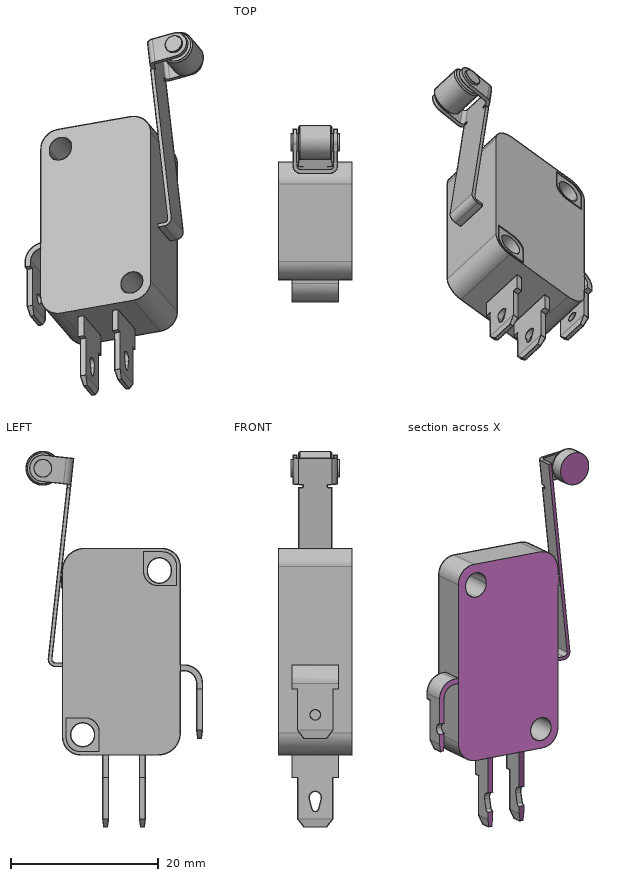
import cadquery as cq
import math


housing_width = 10.0
housing_depth = 16.0
housing_height = 28.0
mount_corner_radius = 2.5
plain_corner_radius = 3.0
mount_hole_diameter = 3.2
pad_inset = 2.75
slot_front_inset = 2.85
slot_top_inset = 3.0
slot_length = 3.4
pad_depth = 4.5
pad_height = 4.6
pad_corner_radius = 1.95
pad_recess_depth = 0.1
button_diameter = 1.65
button_height = 23.5
button_projection = 0.15

terminal_thickness = 0.8
shoulder_width = 6.3
blade_width = 4.8
blade_length = 6.7
tip_width = 3.05
tip_length = 1.1
tip_thickness = 0.5
bottom_terminal_drop = 9.8
bottom_terminal_spacing = 5.0
bottom_terminals_middle = -0.35
keyhole_wide_radius = 0.8
keyhole_narrow_radius = 0.45
keyhole_wide_above_tip = 4.0
keyhole_length = 1.45
side_terminal_reach = 3.0
side_terminal_top = 12.2
side_terminal_tip = 2.25
side_bend_radius = 2.5
side_hole_diameter = 1.45
side_hole_above_tip = 3.2

lever_thickness = 0.5
lever_width = 4.5
lever_tilt = 6.2
hook_underside = 11.95
hook_bend_radius = 0.5
bracket_width = 6.0
bracket_height = 3.55
bracket_bend_radius = 0.5
bracket_back_distance = 4.0
notch_height = 0.45
notch_depth = 0.6
roller_diameter = 4.6
roller_width = 4.5
roller_chamfer = 0.2
axle_diameter = 2.4
axle_length = 6.6
axle_y = 10.65
axle_z = 38.85

front_face = -housing_depth / 2
back_face = housing_depth / 2


def along_x(y, z, diameter, length):
    """Cylinder parallel to X, centred on X = 0."""
    return cq.Workplane("YZ").center(y, z).circle(diameter / 2).extrude(length / 2, both=True)


def housing_block():
    block = cq.Workplane("XY").box(
        housing_width, housing_depth, housing_height, centered=(True, True, False)
    )
    block = block.edges("|X and >Z and <Y").fillet(mount_corner_radius)
    block = block.edges("|X and <Z and >Y").fillet(mount_corner_radius)
    block = block.edges("|X and >Z and >Y").fillet(plain_corner_radius)
    return block.edges("|X and <Z and <Y").fillet(plain_corner_radius)


def mount_pad_recess(y, z):
    """Shallow recess around a mounting hole, with two opposite corners rounded."""
    recess = cq.Workplane("XY").box(pad_recess_depth, pad_depth, pad_height)
    recess = recess.edges("|X and (( >Y and <Z ) or ( <Y and >Z ))").fillet(pad_corner_radius)
    return recess.translate(((pad_recess_depth - housing_width) / 2, y, z))


def make_housing():
    lower_hole = along_x(back_face - pad_inset, pad_inset, mount_hole_diameter, housing_width)
    upper_slot = (
        cq.Workplane("YZ")
        .center(front_face + slot_front_inset, housing_height - slot_top_inset)
        .slot2D(slot_length, mount_hole_diameter, 90)
        .extrude(housing_width, both=True)
    )
    body = housing_block().cut(lower_hole).cut(upper_slot)
    body = body.cut(mount_pad_recess(back_face - pad_inset, pad_inset))
    body = body.cut(mount_pad_recess(front_face + pad_inset, housing_height - pad_inset))
    button = (
        cq.Workplane("XZ", origin=(0, back_face, button_height))
        .circle(button_diameter / 2)
        .extrude(-button_projection)
    )
    return body.union(button)


def spade_plate(tip_z, top_z):
    """Spade outline seen along Y, thick enough to hold any terminal."""
    shoulder_z = tip_z + blade_length
    half_outline = [
        (tip_width / 2, tip_z),
        (blade_width / 2, tip_z + tip_length),
        (blade_width / 2, shoulder_z),
        (shoulder_width / 2, shoulder_z),
        (shoulder_width / 2, top_z),
    ]
    mirrored = [(-x, z) for x, z in reversed(half_outline)]
    return cq.Workplane("XZ").polyline(half_outline + mirrored).close().extrude(housing_depth, both=True)


def tip_points(y, tip_z):
    """Tapered end of a terminal seen along X, from its +Y side to its -Y side."""
    taper_z = tip_z + tip_length
    return [
        (y + terminal_thickness / 2, taper_z),
        (y + tip_thickness / 2, tip_z),
        (y - tip_thickness / 2, tip_z),
        (y - terminal_thickness / 2, taper_z),
    ]


def keyhole(wide_z):
    """Pear-shaped opening: two circles joined by their common tangents."""
    narrow_z = wide_z - keyhole_length
    sine = (keyhole_wide_radius - keyhole_narrow_radius) / keyhole_length
    cosine = math.sqrt(1 - sine**2)
    wide_x = keyhole_wide_radius * cosine
    narrow_x = keyhole_narrow_radius * cosine
    wide_tangent_z = wide_z - keyhole_wide_radius * sine
    narrow_tangent_z = narrow_z - keyhole_narrow_radius * sine
    return (
        cq.Workplane("XZ")
        .moveTo(narrow_x, narrow_tangent_z)
        .lineTo(wide_x, wide_tangent_z)
        .threePointArc((0, wide_z + keyhole_wide_radius), (-wide_x, wide_tangent_z))
        .lineTo(-narrow_x, narrow_tangent_z)
        .threePointArc((0, narrow_z - keyhole_narrow_radius), (narrow_x, narrow_tangent_z))
        .close()
        .extrude(housing_depth, both=True)
    )


def make_bottom_terminal(y):
    tip_z = -bottom_terminal_drop
    half_thickness = terminal_thickness / 2
    side_outline = [(y - half_thickness, 0), (y + half_thickness, 0)] + tip_points(y, tip_z)
    sheet = cq.Workplane("YZ").polyline(side_outline).close().extrude(shoulder_width, both=True)
    blade = sheet.intersect(spade_plate(tip_z, 0))
    return blade.cut(keyhole(tip_z + keyhole_wide_above_tip))


def make_side_terminal():
    outer_y = front_face - side_terminal_reach
    middle_y = outer_y + terminal_thickness / 2
    bend_y = outer_y + side_bend_radius
    bend_z = side_terminal_top - side_bend_radius
    inner_radius = side_bend_radius - terminal_thickness
    diagonal = math.sqrt(0.5)
    tip_back, *tip_rest = tip_points(middle_y, side_terminal_tip)
    sheet = (
        cq.Workplane("YZ")
        .moveTo(front_face, side_terminal_top)
        .lineTo(bend_y, side_terminal_top)
        .threePointArc(
            (bend_y - side_bend_radius * diagonal, bend_z + side_bend_radius * diagonal),
            (outer_y, bend_z),
        )
        .polyline(list(reversed(tip_rest)), includeCurrent=True)
        .lineTo(*tip_back)
        .lineTo(outer_y + terminal_thickness, bend_z)
        .threePointArc(
            (bend_y - inner_radius * diagonal, bend_z + inner_radius * diagonal),
            (bend_y, bend_z + inner_radius),
        )
        .lineTo(front_face, side_terminal_top - terminal_thickness)
        .close()
        .extrude(shoulder_width, both=True)
    )
    blade = sheet.intersect(spade_plate(side_terminal_tip, side_terminal_top))
    hole = (
        cq.Workplane("XZ", origin=(0, 0, side_terminal_tip + side_hole_above_tip))
        .circle(side_hole_diameter / 2)
        .extrude(housing_depth, both=True)
    )
    return blade.cut(hole)


tilt_sine = math.sin(math.radians(lever_tilt))
tilt_cosine = math.cos(math.radians(lever_tilt))
lever_plane = cq.Plane(
    origin=(0, axle_y, axle_z), xDir=(1, 0, 0), normal=(0, -tilt_sine, tilt_cosine)
)


def strip_point(distance, height):
    """(Y, Z) of a point at a distance in front of the axle and a height along the strip."""
    point = lever_plane.toWorldCoords((0, -distance, height))
    return point.y, point.z


def strip_point_at_z(distance, z):
    """(Y, Z) where the strip plane at a distance in front of the axle reaches level z."""
    height = (z - axle_z + distance * tilt_sine) / tilt_cosine
    return strip_point(distance, height)


def lever_strip():
    front = bracket_back_distance
    back = bracket_back_distance - lever_thickness
    hook_top = hook_underside + lever_thickness
    hook_outer_corner = strip_point_at_z(back, hook_underside)
    hook_inner_corner = strip_point_at_z(front, hook_top)
    outline = [
        strip_point(front, bracket_height / 2),
        strip_point(back, bracket_height / 2),
        hook_outer_corner,
        (back_face, hook_underside),
        (back_face, hook_top),
        hook_inner_corner,
    ]
    strip = cq.Workplane("YZ").polyline(outline).close().extrude(lever_width / 2, both=True)
    inner_corner = cq.selectors.NearestToPointSelector((0, *hook_inner_corner))
    outer_corner = cq.selectors.NearestToPointSelector((0, *hook_outer_corner))
    strip = strip.edges("|X").edges(inner_corner).fillet(hook_bend_radius)
    strip = strip.edges("|X").edges(outer_corner).fillet(hook_bend_radius + lever_thickness)
    return strip.cut(bend_relief_notches())


def bend_relief_notches():
    """Round-ended notches in both strip edges just under the bracket."""
    notch_plane = cq.Plane(
        origin=lever_plane.toWorldCoords((0, -bracket_back_distance, 0)),
        xDir=(1, 0, 0),
        normal=-lever_plane.yDir,
    )
    notch_z = -(bracket_height + notch_height) / 2
    return (
        cq.Workplane(notch_plane)
        .pushPoints([(-lever_width / 2, notch_z), (lever_width / 2, notch_z)])
        .slot2D(2 * notch_depth, notch_height)
        .extrude(lever_thickness, both=True)
    )


def roller_bracket():
    """U-shaped bracket whose arms end in half rounds about the axle."""
    arm_end = bracket_height / 2
    depth = bracket_back_distance + arm_end
    middle = (arm_end - bracket_back_distance) / 2
    outer = (
        cq.Workplane(lever_plane)
        .center(0, middle)
        .rect(bracket_width, depth)
        .extrude(bracket_height / 2, both=True)
    )
    bend_corners = cq.selectors.BoxSelector(
        (-bracket_width, front_face, 0),
        (bracket_width, axle_y - bracket_back_distance / 2, axle_z + bracket_height),
    )
    up_edges = cq.selectors.ParallelDirSelector(lever_plane.zDir)
    outer = outer.edges(up_edges).edges(bend_corners).fillet(bracket_bend_radius + lever_thickness)
    inner = (
        cq.Workplane(lever_plane)
        .center(0, middle + lever_thickness)
        .rect(bracket_width - 2 * lever_thickness, depth)
        .extrude(bracket_height / 2, both=True)
    )
    inner = inner.edges(up_edges).edges(bend_corners).fillet(bracket_bend_radius)
    arm_outline = (
        cq.Workplane(lever_plane)
        .center(0, -bracket_back_distance / 2)
        .rect(bracket_width, bracket_back_distance)
        .extrude(bracket_height / 2, both=True)
        .union(along_x(axle_y, axle_z, bracket_height, bracket_width))
    )
    return outer.cut(inner).intersect(arm_outline)


def roller_on_axle():
    roller = along_x(axle_y, axle_z, roller_diameter, roller_width)
    roller = roller.faces("<X or >X").chamfer(roller_chamfer)
    return roller.union(along_x(axle_y, axle_z, axle_diameter, axle_length))


def make_lever():
    return lever_strip().union(roller_bracket()).union(roller_on_axle())


housing = make_housing()
bottom_terminals = [
    make_bottom_terminal(bottom_terminals_middle + side * bottom_terminal_spacing / 2)
    for side in (-1, 1)
]
side_terminal = make_side_terminal()
lever = make_lever()

result = cq.Compound.makeCompound(
    [housing.val(), *[terminal.val() for terminal in bottom_terminals], side_terminal.val(), lever.val()]
)